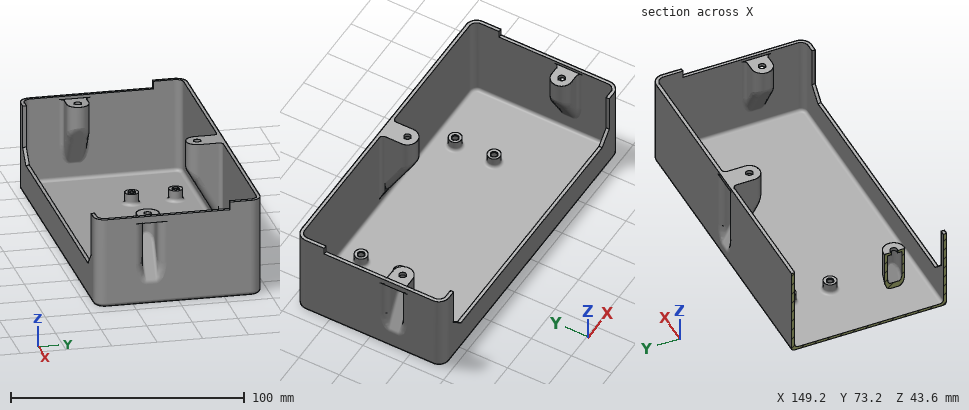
import cadquery as cq
import math

length = 149.2
width = 73.2
height = 43.6
wall = 1.6
corner_radius = 5.0
bottom_edge_radius = 1.6
floor_edge_radius = 1.6

low_rim_height = 40.1
high_rim_depth = 14.2

opening_width = 131.4
opening_bottom = 15.1
opening_chamfer = 6.0

boss_radius = 4.9
boss_hole_diameter = 3.2
boss_root_radius = 1.8
boss_slope_edge_radius = 3.0
slope_angle = 60.0
back_boss_reach = 11.65
back_boss_slope_start = 31.2
side_boss_reach = 7.55
side_boss_y = -12.1
side_boss_top = 38.7
side_boss_slope_start = 28.2

standoff_diameter = 6.0
standoff_hole_diameter = 2.85
standoff_mouth_diameter = 3.2
standoff_mouth_depth = 0.6
standoff_height = 5.2
standoff_root_radius = 1.6
standoff_spacing_x = 79.4
standoff_rows_y = (5.3, 24.6)

slab_overhang = 2 * wall

half_length = length / 2
half_width = width / 2
slope_rise = math.tan(math.radians(slope_angle))


def rounded_block(size_x, size_y, size_z, side_radius, lower_radius):
    """Block standing on z = 0 with rounded vertical and lower edges."""
    block = cq.Workplane("XY").box(size_x, size_y, size_z, centered=(True, True, False))
    block = block.edges("|Z").fillet(side_radius)
    return block.faces("<Z").edges().fillet(lower_radius)


def make_tray():
    """Open tray with a stepped rim and an opening in the front wall."""
    outer = rounded_block(length, width, height, corner_radius, bottom_edge_radius)
    cavity = rounded_block(
        length - 2 * wall, width - 2 * wall, height, corner_radius - wall, floor_edge_radius
    ).translate((0, 0, wall))
    rim_cut = cq.Workplane("XY").box(length, width, height, centered=(True, True, False))
    rim_cut = rim_cut.translate((0, -high_rim_depth, low_rim_height))
    opening = (
        cq.Workplane("XY")
        .box(opening_width, 2 * wall, height, centered=(True, True, False))
        .edges("|Y and <Z")
        .chamfer(opening_chamfer)
        .translate((0, -half_width, opening_bottom))
    )
    return outer.cut(cavity).cut(rim_cut).cut(opening)


def below_slope(tip, slope_start):
    """Space under a plane that rises along +Y and passes slope_start at y = tip."""
    far_back = -2 * slab_overhang
    far_front = tip + boss_radius
    foot = slope_start - (tip - far_back) * slope_rise
    return (
        cq.Workplane("YZ")
        .moveTo(far_back, foot)
        .lineTo(far_front, slope_start + boss_radius * slope_rise)
        .lineTo(far_front, foot - height)
        .lineTo(far_back, foot - height)
        .close()
        .extrude(length, both=True)
    )


def make_boss(reach, top, slope_start):
    """Solid round-ended boss pointing along +Y, with a slab behind it.

    The slab's inner face is the inner wall face, one wall from y = 0, and it
    carries the root fillets. The underside slopes down from slope_start at the
    boss tip back to the wall.
    """
    tip = reach + boss_radius
    slab_back = -slab_overhang
    slab_depth = wall + slab_overhang
    slab_width = 6 * boss_radius
    gap = 0.01

    column = (
        cq.Workplane("XY")
        .moveTo(-boss_radius, slab_back)
        .lineTo(-boss_radius, reach)
        .threePointArc((0, tip), (boss_radius, reach))
        .lineTo(boss_radius, slab_back)
        .close()
        .extrude(top)
    )
    slope_edges = cq.selectors.BoxSelector(
        (-slab_width, slab_back + gap, 0), (slab_width, tip + boss_radius, top - gap)
    )
    column = column.cut(below_slope(tip, slope_start))
    column = column.edges(slope_edges).edges("not |Z").fillet(boss_slope_edge_radius)

    slab_height = top - bottom_edge_radius
    slab = cq.Workplane("XY").box(
        slab_width, slab_depth, slab_height, centered=(True, False, False)
    ).translate((0, slab_back, bottom_edge_radius))
    root_edges = cq.selectors.BoxSelector(
        (-boss_radius - gap, wall - gap, bottom_edge_radius + gap),
        (boss_radius + gap, wall + gap, top - gap),
    )
    return slab.union(column).edges(root_edges).fillet(boss_root_radius)


def make_straight_root(reach, top, slope_start):
    """Full-height root of a boss: side flares that run straight down to the slope."""
    flare_end = boss_radius + boss_root_radius
    flare_front = wall + boss_root_radius
    arc_offset = boss_root_radius * math.sqrt(0.5)
    arc_x = flare_end - arc_offset
    arc_y = flare_front - arc_offset
    root = (
        cq.Workplane("XY")
        .moveTo(-flare_end, wall / 2)
        .lineTo(-flare_end, wall)
        .threePointArc((-arc_x, arc_y), (-boss_radius, flare_front))
        .lineTo(boss_radius, flare_front)
        .threePointArc((arc_x, arc_y), (flare_end, wall))
        .lineTo(flare_end, wall / 2)
        .close()
        .extrude(top)
    )
    return root.cut(below_slope(reach + boss_radius, slope_start))


def add_boss(tray, reach, top, slope_start, angle, wall_point, straight_root=False):
    """Add one hollow boss, open to the outside, and its screw hole to a wall.

    The boss is made pointing along +Y from y = 0, then turned by angle about Z
    and moved to wall_point on the outer wall face.
    """
    boss = make_boss(reach, top, slope_start)
    pocket = boss.cut(boss.shell(-wall))
    if straight_root:
        boss = boss.union(make_straight_root(reach, top, slope_start))
    outside = cq.Workplane("XY").box(length, length, height, centered=(True, False, False))
    outside = outside.translate((0, -length, 0))
    hole = (
        cq.Workplane("XY")
        .workplane(offset=top - 2 * wall)
        .center(0, reach)
        .circle(boss_hole_diameter / 2)
        .extrude(2 * wall)
    )

    def place(shape):
        return shape.rotate((0, 0, 0), (0, 0, 1), angle).translate(wall_point)

    return tray.union(place(boss.cut(outside))).cut(place(pocket)).cut(place(hole))


def add_standoff(tray, x, y):
    """Add one standoff with a flared foot and a blind stepped hole down to the floor."""
    radius = standoff_diameter / 2
    foot_radius = radius + standoff_root_radius
    bore_radius = standoff_hole_diameter / 2
    mouth_radius = standoff_mouth_diameter / 2
    mouth_floor = standoff_height - standoff_mouth_depth
    arc_offset = standoff_root_radius * (1 - math.sqrt(0.5))
    standoff = (
        cq.Workplane("XZ")
        .moveTo(bore_radius, -wall / 2)
        .lineTo(foot_radius, -wall / 2)
        .lineTo(foot_radius, 0)
        .threePointArc((radius + arc_offset, arc_offset), (radius, standoff_root_radius))
        .lineTo(radius, standoff_height)
        .lineTo(mouth_radius, standoff_height)
        .lineTo(mouth_radius, mouth_floor)
        .lineTo(bore_radius, mouth_floor)
        .close()
        .revolve(360, (0, 0, 0), (0, 1, 0))
    )
    return tray.union(standoff.translate((x, y, wall)))


result = make_tray()
result = add_boss(
    result, back_boss_reach, height, back_boss_slope_start, 180, (0, half_width, 0), straight_root=True
)
for side, turn in ((-1, -90), (1, 90)):
    wall_point = (side * half_length, side_boss_y, 0)
    result = add_boss(
        result, side_boss_reach, side_boss_top, side_boss_slope_start, turn, wall_point
    )
for column_side in (-1, 1):
    for row_y in standoff_rows_y:
        result = add_standoff(result, column_side * standoff_spacing_x / 2, row_y)